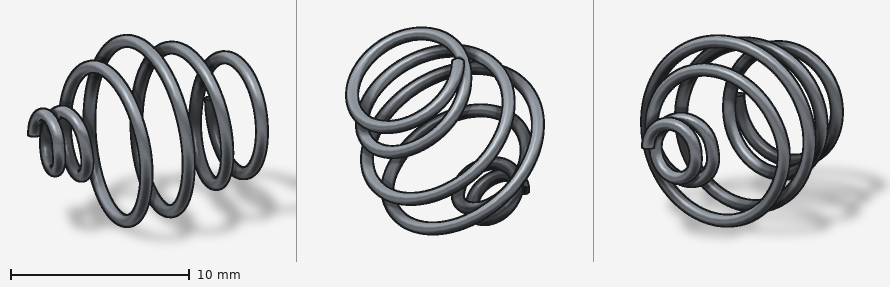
import cadquery as cq
import math

overall_length = 12.5
wire_diameter = 0.7
front_radius = 1.6
middle_radius = 5.0
back_radius = 3.3
rising_turns = 5.0
end_turns = 0.5
samples_per_turn = 16
tangent_step = 0.01
travel = overall_length - wire_diameter

first_turn = -end_turns
last_turn = rising_turns + end_turns

advance_stations = [
    (first_turn, 0.0, 0.0, 0.0),
    (0.0, 0.0, 0.0, 1.38),
    (1.0, 1.66, 1.69, 1.69),
    (2.0, 3.78, 2.62, 2.62),
    (3.0, 6.41, 2.62, 2.62),
    (4.5, 10.91, 3.25, 3.25),
    (rising_turns, travel, 0.0, 0.0),
    (last_turn, travel, 0.0, 0.0),
]

radius_stations = [
    (first_turn, front_radius, 0.0, 0.0),
    (1.0, front_radius, 0.0, 1.94),
    (2.0, middle_radius, 3.88, 0.0),
    (3.0, middle_radius, 0.0, -0.94),
    (4.5, back_radius, -1.19, 0.0),
    (last_turn, back_radius, 0.0, 0.0),
]


def value_at(stations, turn):
    """Cubic blend between stations that meets the value and slope given at each one."""
    for before, after in zip(stations, stations[1:]):
        if turn <= after[0]:
            break
    start_turn, start_value, _, start_slope = before
    end_turn, end_value, end_slope, _ = after
    span = end_turn - start_turn
    u = (turn - start_turn) / span
    blend = u * u * (3 - 2 * u)
    start_bend = u * (1 - u) ** 2 * span * start_slope
    end_bend = u * u * (u - 1) * span * end_slope
    return start_value + (end_value - start_value) * blend + start_bend + end_bend


def wire_center(turn):
    """Point on the wire axis: turn 0 is at +X and the winding then goes down."""
    angle = 2 * math.pi * turn
    radius = value_at(radius_stations, turn)
    advance = value_at(advance_stations, turn)
    return cq.Vector(radius * math.cos(angle), advance, -radius * math.sin(angle))


def wire_tangent(turn):
    """Change of the wire axis per turn, taken across a short piece of the winding."""
    chord = wire_center(turn + tangent_step) - wire_center(turn - tangent_step)
    return chord / (2 * tangent_step)


steps = round((last_turn - first_turn) * samples_per_turn)
turns = [first_turn + step / samples_per_turn for step in range(steps + 1)]
end_tangents = [wire_tangent(first_turn), wire_tangent(last_turn)]
path = cq.Edge.makeSpline(
    [wire_center(turn) for turn in turns],
    tangents=end_tangents,
    parameters=turns,
    scale=False,
)

start_plane = cq.Plane(wire_center(first_turn), xDir=(1, 0, 0), normal=end_tangents[0])
section = cq.Workplane(start_plane).circle(wire_diameter / 2)
result = section.sweep(cq.Workplane(path), isFrenet=True)